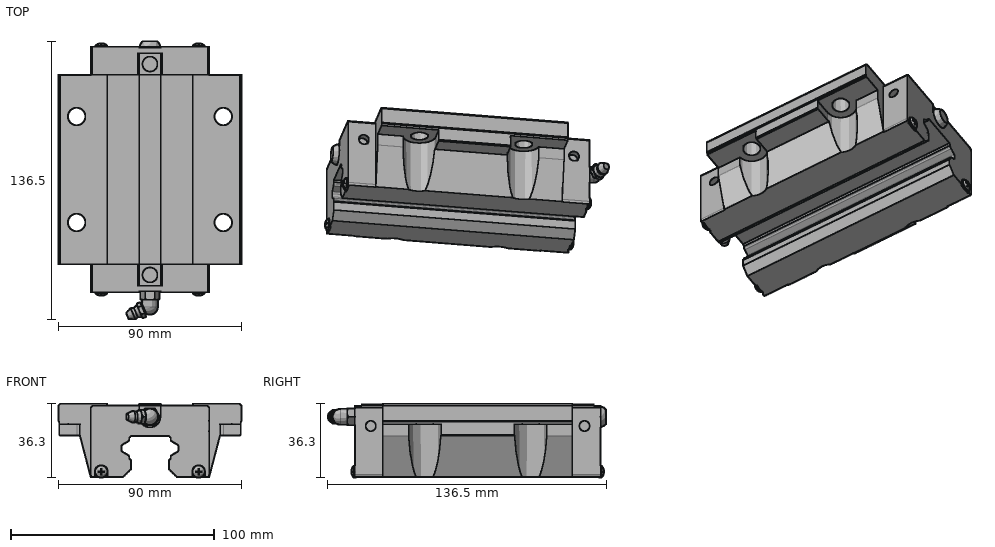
import cadquery as cq
import math


BLOCK_LENGTH = 93.0
BLOCK_HEIGHT = 36.0
FLANGE_WIDTH = 90.0
FLANGE_HALF_WIDTH = FLANGE_WIDTH / 2
FLANGE_CHAMFER = 1.0
FLANGE_FOOT_CHAMFER = 0.5
FLANGE_STEP = 0.4
FLANGE_STEP_Z = 27.6
FLANGE_BOTTOM_Z = 20.3
RELIEF_Z = 26.1
WALL_HALF_WIDTH = 34.4
FOOT_HALF_WIDTH = 29.1
TOP_GROOVE_INNER = 5.3
TOP_GROOVE_OUTER = 21.0
TOP_GROOVE_DEPTH = 0.8

HOLE_SPACING_X = 72.0
HOLE_SPACING_Y = 52.0
HOLE_DIAMETER = 8.5
SPOTFACE_RADIUS = 8.0

RAIL_TOP_Z = 20.2
RAIL_TOP_CORNER = 0.8
RAIL_SHOULDER_HALF_WIDTH = 10.1
RAIL_GROOVE_HALF_WIDTH = 13.9
RAIL_GROOVE_Z = 14.2
RAIL_GROOVE_FLAT = 2.9
RAIL_GROOVE_OPENING = 7.4
RAIL_LIP_HALF_WIDTH = 9.3
RAIL_LIP_TOP_Z = 8.3
RAIL_LIP_BOTTOM_Z = 4.0
RAIL_MOUTH_HALF_WIDTH = 13.2
RAIL_GROOVE_ROUND = 1.1

CAP_LENGTH = 10.5
PLATE_THICKNESS = 3.3
CAP_HALF_WIDTH = 29.1
CAP_TOP_Z = 35.0
CAP_CORNER = 0.8
CAP_FOOT_INSET = 0.4
CAP_FOOT_HEIGHT = 1.4
RIDGE_TOP_Z = 35.8
RIDGE_TOP_HALF_WIDTH = 5.2
RIDGE_FOOT_HALF_WIDTH = 6.0
TOP_PORT_DIAMETER = 7.4
TOP_PORT_DEPTH = 0.4
SIDE_PORT_DIAMETER = 5.0
SIDE_PORT_DEPTH = 4.1
SIDE_PORT_Y = 52.4
SIDE_PORT_Z = 25.1
END_Y = BLOCK_LENGTH / 2 + CAP_LENGTH + PLATE_THICKNESS
CAP_MIDDLE_Y = BLOCK_LENGTH / 2 + CAP_LENGTH / 2
RECESS_DEPTH = 0.5
RECESS_Y = END_Y - RECESS_DEPTH

SCREW_X = 23.9
SCREW_Z = 2.7
SCREW_RADIUS = 3.0
SCREW_RECESS_RADIUS = 3.1
SCREW_RIM = 0.4
SCREW_HEIGHT = 1.8
CROSS_LENGTH = 3.0
CROSS_WIDTH = 0.5
CROSS_DEPTH = 0.8

PORT_Z = 29.6
PORT_RADIUS = 5.2
PLUG_HEIGHT = 2.7
PLUG_FACE_RADIUS = 3.5
HEX_ACROSS_FLATS = 8.3
HEX_END_Y = -63.9
ELBOW_RADIUS = 4.0
ELBOW_Y = -67.3
SPOUT_ANGLE = 22.5
COLLAR_ACROSS_FLATS = 6.8
COLLAR_START = 3.5
COLLAR_END = 5.6
HEX_CHAMFER = 0.4
SPOUT_CORE_RADIUS = 3.3
NECK_AT = 7.5
NECK_RADIUS = 2.6
RIDGE_AT = 9.0
RIDGE_RADIUS = 3.0
TIP_AT = 12.0
TIP_RADIUS = 1.6


def mirrored_prism(half_outline, length):
    """Close a right-hand outline with its mirror image and extrude it, centred on Y = 0."""
    left = [(-x, z) for x, z in reversed(half_outline)]
    profile = cq.Workplane("XZ").polyline(half_outline + left).close()
    return profile.extrude(length / 2, both=True)


def box_between(x, y, z):
    """Box spanning the (low, high) pairs x, y and z."""
    size = [high - low for low, high in (x, y, z)]
    return cq.Workplane("XY").box(*size, centered=False).translate((x[0], y[0], z[0]))


def make_block():
    groove_floor = BLOCK_HEIGHT - TOP_GROOVE_DEPTH
    lower_edge = FLANGE_HALF_WIDTH - FLANGE_STEP
    block = mirrored_prism(
        [
            (TOP_GROOVE_INNER, BLOCK_HEIGHT),
            (TOP_GROOVE_INNER, groove_floor),
            (TOP_GROOVE_OUTER, groove_floor),
            (TOP_GROOVE_OUTER, BLOCK_HEIGHT),
            (FLANGE_HALF_WIDTH - FLANGE_CHAMFER, BLOCK_HEIGHT),
            (FLANGE_HALF_WIDTH, BLOCK_HEIGHT - FLANGE_CHAMFER),
            (FLANGE_HALF_WIDTH, FLANGE_STEP_Z),
            (lower_edge, FLANGE_STEP_Z - FLANGE_STEP),
            (lower_edge, FLANGE_BOTTOM_Z + FLANGE_FOOT_CHAMFER),
            (lower_edge - FLANGE_FOOT_CHAMFER, FLANGE_BOTTOM_Z),
            (WALL_HALF_WIDTH, FLANGE_BOTTOM_Z),
            (FOOT_HALF_WIDTH, 0),
        ],
        BLOCK_LENGTH,
    )
    for side_x in (-1, 1):
        for side_y in (-1, 1):
            block = block.cut(make_flange_relief(side_x, side_y))
    holes = (
        cq.Workplane("XY")
        .rect(HOLE_SPACING_X, HOLE_SPACING_Y, forConstruction=True)
        .vertices()
        .circle(HOLE_DIAMETER / 2)
        .extrude(BLOCK_HEIGHT)
    )
    return block.cut(holes)


def make_flange_relief(side_x, side_y):
    """Clearance below one flange corner: open to the block end, with a round spotface at the hole."""
    hole_x = HOLE_SPACING_X / 2
    hole_y = HOLE_SPACING_Y / 2
    depth = (0, RELIEF_Z)
    spotface = cq.Workplane("XY").center(hole_x, hole_y).circle(SPOTFACE_RADIUS).extrude(RELIEF_Z)
    beside_hole = box_between((hole_x, FLANGE_HALF_WIDTH), (hole_y - SPOTFACE_RADIUS, hole_y), depth)
    to_block_end = box_between((WALL_HALF_WIDTH, FLANGE_HALF_WIDTH), (hole_y, BLOCK_LENGTH / 2), depth)
    relief = spotface.union(beside_hole).union(to_block_end)
    if side_x < 0:
        relief = relief.mirror("YZ")
    if side_y < 0:
        relief = relief.mirror("XZ")
    return relief


def make_rail_passage():
    shoulder_top = RAIL_GROOVE_Z + RAIL_GROOVE_OPENING / 2
    shoulder_bottom = RAIL_GROOVE_Z - RAIL_GROOVE_OPENING / 2
    lip_slope = RAIL_SHOULDER_HALF_WIDTH - RAIL_LIP_HALF_WIDTH
    passage = mirrored_prism(
        [
            (RAIL_SHOULDER_HALF_WIDTH - RAIL_TOP_CORNER, RAIL_TOP_Z),
            (RAIL_SHOULDER_HALF_WIDTH, RAIL_TOP_Z - RAIL_TOP_CORNER),
            (RAIL_SHOULDER_HALF_WIDTH, shoulder_top),
            (RAIL_GROOVE_HALF_WIDTH, RAIL_GROOVE_Z + RAIL_GROOVE_FLAT / 2),
            (RAIL_GROOVE_HALF_WIDTH, RAIL_GROOVE_Z - RAIL_GROOVE_FLAT / 2),
            (RAIL_SHOULDER_HALF_WIDTH, shoulder_bottom),
            (RAIL_SHOULDER_HALF_WIDTH, RAIL_LIP_TOP_Z + lip_slope),
            (RAIL_LIP_HALF_WIDTH, RAIL_LIP_TOP_Z),
            (RAIL_LIP_HALF_WIDTH, RAIL_LIP_BOTTOM_Z),
            (RAIL_MOUTH_HALF_WIDTH, 0),
        ],
        2 * END_Y,
    )
    margin = 0.1
    groove_edges = cq.selectors.BoxSelector(
        (-RAIL_GROOVE_HALF_WIDTH - margin, -END_Y, shoulder_bottom - margin),
        (RAIL_GROOVE_HALF_WIDTH + margin, END_Y, shoulder_top + margin),
    )
    return passage.edges("|Y").edges(groove_edges).fillet(RAIL_GROOVE_ROUND)


def make_end_caps():
    """Caps with their seal plates at both block ends; the top ridge stops at the plates."""
    caps = mirrored_prism(
        [
            (CAP_HALF_WIDTH - CAP_CORNER, CAP_TOP_Z),
            (CAP_HALF_WIDTH, CAP_TOP_Z - CAP_CORNER),
            (CAP_HALF_WIDTH, CAP_FOOT_HEIGHT),
            (CAP_HALF_WIDTH - CAP_FOOT_INSET, 0),
        ],
        2 * END_Y,
    )
    ridge = mirrored_prism(
        [
            (RIDGE_TOP_HALF_WIDTH, RIDGE_TOP_Z),
            (RIDGE_FOOT_HALF_WIDTH, CAP_TOP_Z),
        ],
        BLOCK_LENGTH + 2 * CAP_LENGTH,
    )
    half_block = BLOCK_LENGTH / 2
    block_space = box_between(
        (-CAP_HALF_WIDTH, CAP_HALF_WIDTH), (-half_block, half_block), (0, RIDGE_TOP_Z)
    )
    return caps.union(ridge).cut(block_space)


def make_cap_ports():
    """Blind ports in the top and both sides of each cap."""
    top_ports = (
        cq.Workplane("XY", origin=(0, 0, RIDGE_TOP_Z - TOP_PORT_DEPTH))
        .pushPoints([(0, -CAP_MIDDLE_Y), (0, CAP_MIDDLE_Y)])
        .circle(TOP_PORT_DIAMETER / 2)
        .extrude(TOP_PORT_DEPTH)
    )
    side_ports = (
        cq.Workplane("YZ", origin=(CAP_HALF_WIDTH - SIDE_PORT_DEPTH, 0, 0))
        .pushPoints([(-SIDE_PORT_Y, SIDE_PORT_Z), (SIDE_PORT_Y, SIDE_PORT_Z)])
        .circle(SIDE_PORT_DIAMETER / 2)
        .extrude(SIDE_PORT_DEPTH)
    )
    return top_ports.union(side_ports).union(side_ports.mirror("YZ"))


def make_plate_recesses():
    """U-shaped pockets in the +Y plate: screws open downward, the grease port opens upward."""
    plane = cq.Workplane("XZ", origin=(0, END_Y, 0))
    port = plane.center(0, PORT_Z).circle(PORT_RADIUS).extrude(RECESS_DEPTH)
    depth = (RECESS_Y, END_Y)
    recesses = port.union(box_between((-PORT_RADIUS, PORT_RADIUS), depth, (PORT_Z, CAP_TOP_Z)))
    for x in (-SCREW_X, SCREW_X):
        round_end = plane.center(x, SCREW_Z).circle(SCREW_RECESS_RADIUS).extrude(RECESS_DEPTH)
        open_end = box_between((x - SCREW_RECESS_RADIUS, x + SCREW_RECESS_RADIUS), depth, (0, SCREW_Z))
        recesses = recesses.union(round_end).union(open_end)
    return recesses


def make_screw(x):
    """Domed screw head with a cross recess on the +Y plate."""
    rim_y = END_Y + SCREW_RIM
    top_y = END_Y + SCREW_HEIGHT
    dome_rise = SCREW_HEIGHT - SCREW_RIM
    dome_radius = (SCREW_RADIUS**2 + dome_rise**2) / (2 * dome_rise)
    half_angle = math.asin(SCREW_RADIUS / dome_radius) / 2
    dome_middle = (
        dome_radius * math.sin(half_angle),
        top_y - dome_radius * (1 - math.cos(half_angle)),
    )
    head = (
        cq.Workplane("XY")
        .moveTo(0, RECESS_Y)
        .lineTo(SCREW_RADIUS, RECESS_Y)
        .lineTo(SCREW_RADIUS, rim_y)
        .threePointArc(dome_middle, (0, top_y))
        .close()
        .revolve(360, (0, 0, 0), (0, 1, 0))
    )
    cross_plane = cq.Workplane("XZ", origin=(0, top_y, 0))
    cross = cross_plane.rect(CROSS_LENGTH, CROSS_WIDTH).extrude(CROSS_DEPTH)
    cross = cross.union(cross_plane.rect(CROSS_WIDTH, CROSS_LENGTH).extrude(CROSS_DEPTH))
    return head.cut(cross).translate((x, 0, SCREW_Z))


def make_plug():
    """Rounded plug closing the grease port of the +Y plate."""
    top_y = END_Y + PLUG_HEIGHT
    centre_depth = (PORT_RADIUS**2 - PLUG_FACE_RADIUS**2 - PLUG_HEIGHT**2) / (2 * PLUG_HEIGHT)
    sphere_radius = math.hypot(PORT_RADIUS, centre_depth)
    half_height = PLUG_HEIGHT / 2
    flank_radius = math.sqrt(sphere_radius**2 - (centre_depth + half_height) ** 2)
    flank_middle = (flank_radius, END_Y + half_height)
    return (
        cq.Workplane("XY")
        .moveTo(0, RECESS_Y)
        .lineTo(PORT_RADIUS, RECESS_Y)
        .lineTo(PORT_RADIUS, END_Y)
        .threePointArc(flank_middle, (PLUG_FACE_RADIUS, top_y))
        .lineTo(0, top_y)
        .close()
        .revolve(360, (0, 0, 0), (0, 1, 0))
        .translate((0, 0, PORT_Z))
    )


def make_hexagon(plane, across_flats, length):
    """Hexagonal prism whose corners are chamfered at the far end."""
    corner_diameter = across_flats / math.cos(math.pi / 6)
    envelope = plane.circle(corner_diameter / 2).extrude(length)
    envelope = envelope.faces(cq.selectors.DirectionMinMaxSelector(plane.plane.zDir)).chamfer(HEX_CHAMFER)
    return plane.polygon(6, corner_diameter).extrude(length).intersect(envelope)


def make_nipple():
    """Elbow grease nipple on the -Y plate: hexagon, round elbow and tilted spout."""
    plane = cq.Workplane("XZ", origin=(0, -RECESS_Y, PORT_Z))
    hexagon = make_hexagon(plane, HEX_ACROSS_FLATS, -RECESS_Y - HEX_END_Y)
    stem = plane.circle(ELBOW_RADIUS).extrude(-RECESS_Y - ELBOW_Y)
    ball = cq.Workplane("XY").sphere(ELBOW_RADIUS).translate((0, ELBOW_Y, PORT_Z))

    spout = (
        cq.Workplane("XY")
        .polyline(
            [
                (0, 0),
                (0, NECK_RADIUS),
                (-COLLAR_START, NECK_RADIUS),
                (-COLLAR_END, SPOUT_CORE_RADIUS),
                (-NECK_AT, NECK_RADIUS),
                (-RIDGE_AT, RIDGE_RADIUS),
                (-TIP_AT, TIP_RADIUS),
                (-TIP_AT, 0),
            ]
        )
        .close()
        .revolve(360, (0, 0, 0), (1, 0, 0))
    )
    collar_plane = cq.Workplane(cq.Plane((-COLLAR_START, 0, 0), xDir=(0, 1, 0), normal=(-1, 0, 0)))
    collar = make_hexagon(collar_plane, COLLAR_ACROSS_FLATS, COLLAR_END - COLLAR_START)
    spout = spout.union(collar).rotate((0, 0, 0), (0, 0, 1), SPOUT_ANGLE)
    spout = spout.translate((0, ELBOW_Y, PORT_Z))
    return hexagon.union(stem).union(ball).union(spout)


carriage = make_block().union(make_end_caps()).cut(make_rail_passage()).cut(make_cap_ports())

recesses = make_plate_recesses()
screws = make_screw(-SCREW_X).union(make_screw(SCREW_X))
carriage = carriage.cut(recesses).cut(recesses.mirror("XZ"))
carriage = carriage.union(screws).union(screws.mirror("XZ"))

result = carriage.union(make_plug()).union(make_nipple())